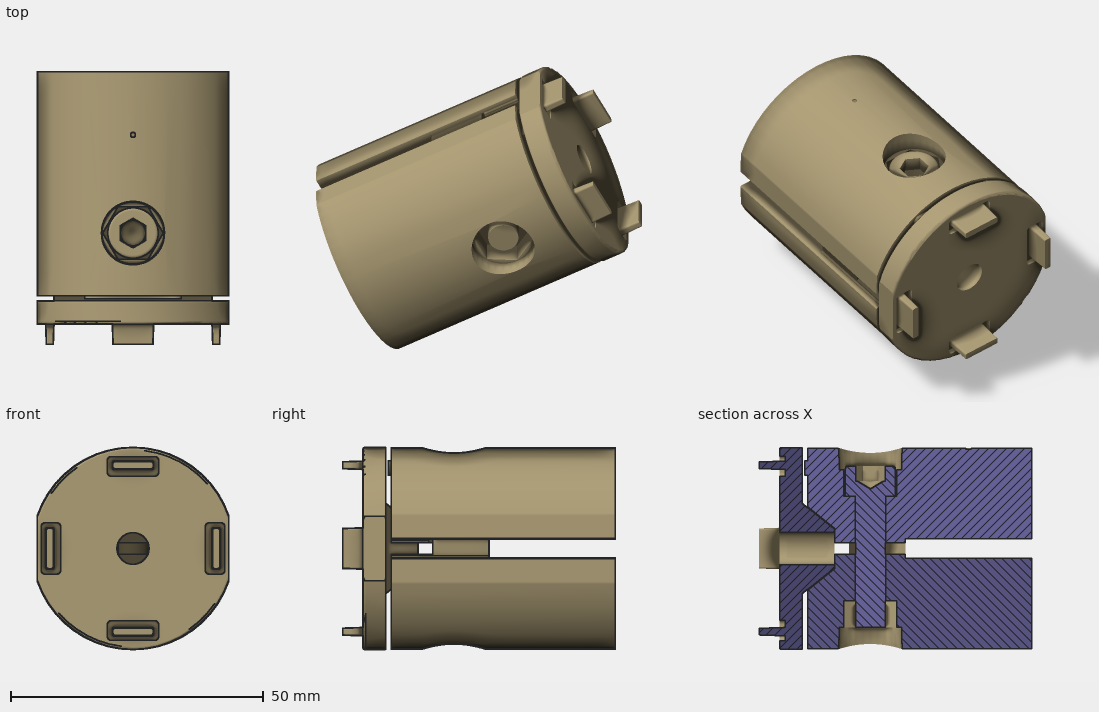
import cadquery as cq
import math

jaw_rear_y = 27.0
step_rear_y = 2.0
tenon_front_y = -9.2
wedge_tip_y = -12.05
jaw_front_y = -17.4
cap_rear_y = -18.4
cap_front_y = -23.0
tab_tip_y = -27.0

jaw_radius = 19.9
jaw_half_width = 18.975
jaw_flat_draft = 2.0
jaw_gap = 3.7
jaw_edge_chamfer = 0.15
flat_blend_radius = 1.1
step_gap = 2.2
step_half_width = 17.5
step_foot_radius = 0.4
step_crest_radius = 0.2
tenon_width = 3.25
tenon_top_z = 3.25
notch_clearance = 0.75

screw_y = -4.95
shank_diameter = 6.0
head_diameter = 10.0
head_top_z = 16.35
head_height = 6.0
head_edge_radius = 0.6
socket_flats = 5.0
socket_depth = 3.0
drill_point_angle = 118.0
seat_floor_diameter = 12.25
seat_draft = 2.0
seat_floor_z = 15.6
hex_seat_flats = 10.35

dimple_diameter = 0.95
dimple_depth = 0.25
dimple_y = 14.45
pad_length = 19.15
pad_width = 2.9
pad_corner_radius = 1.4
pad_height = 0.6
pad_z = 15.9

cap_radius = 20.0
cap_half_width = 18.975
cap_front_edge_radius = 0.55
cap_rear_edge_radius = 0.3
wedge_half_width = 15.65
wedge_base_half_height = 8.9
wedge_slope = 0.8
bore_diameter = 6.25
tab_offset = 16.45
tab_tip_length = 7.95
tab_tip_thickness = 1.4
tab_edge_radius = 0.3
tab_draft = 2.0
pocket_offset = 16.25
pocket_length = 10.15
pocket_width = 3.9
pocket_depth = 1.1
pocket_corner_radius = 0.75

jaw_length = jaw_rear_y - jaw_front_y
cap_thickness = cap_rear_y - cap_front_y
head_seat_z = head_top_z - head_height
jaw_reach = 2 * jaw_radius


def box(x_range, y_range, z_range):
    """Box between two limits along each axis."""
    (x0, x1), (y0, y1), (z0, z1) = x_range, y_range, z_range
    return cq.Workplane("XY").box(x1 - x0, y1 - y0, z1 - z0, centered=False).translate((x0, y0, z0))


def facing_front(y):
    """Sketch plane at the station y: local x is +X, local y is +Z, and it extrudes toward -Y."""
    return cq.Workplane("XZ", origin=(0, y, 0))


def at_screw(z):
    """Horizontal sketch plane centred on the screw axis."""
    return cq.Workplane("XY", origin=(0, screw_y, z))


def hexagon(workplane, flats):
    """Hexagon across the given flats, with corners on the X axis."""
    return workplane.polygon(6, flats / math.cos(math.pi / 6))


def make_wedge():
    tip_half_height = wedge_base_half_height - wedge_slope * (wedge_tip_y - cap_rear_y)
    outline = [
        (cap_rear_y, -wedge_base_half_height),
        (wedge_tip_y, -tip_half_height),
        (wedge_tip_y, tip_half_height),
        (cap_rear_y, wedge_base_half_height),
    ]
    return cq.Workplane("YZ").polyline(outline).close().extrude(wedge_half_width, both=True)


def make_disc():
    disc = facing_front(cap_rear_y).circle(cap_radius).extrude(cap_thickness)
    disc = disc.faces("<Y").edges().fillet(cap_front_edge_radius)
    disc = disc.faces(">Y").edges().fillet(cap_rear_edge_radius)
    sides = (-cap_half_width, cap_half_width)
    return disc.intersect(box(sides, (cap_front_y, cap_rear_y), (-cap_radius, cap_radius)))


def make_tab():
    """Tab on the +Z side, widening from its tip down to the pocket floor."""
    length = pocket_depth + cap_front_y - tab_tip_y
    tip = facing_front(tab_tip_y).center(0, tab_offset)
    outline = cq.Sketch().rect(tab_tip_length, tab_tip_thickness).vertices().fillet(tab_edge_radius)
    return tip.placeSketch(outline).extrude(-length, taper=-tab_draft)


def make_pocket():
    """Rounded pocket around the tab on the +Z side."""
    outline = cq.Sketch().rect(pocket_length, pocket_width).vertices().fillet(pocket_corner_radius)
    front = facing_front(cap_front_y).center(0, pocket_offset)
    return front.placeSketch(outline).extrude(-pocket_depth)


def make_cap():
    cap = make_disc().union(make_wedge())
    for quarter in range(4):
        turn = ((0, 0, 0), (0, 1, 0), 90 * quarter)
        cap = cap.cut(make_pocket().rotate(*turn))
        cap = cap.union(make_tab().rotate(*turn))
    bore = facing_front(wedge_tip_y).circle(bore_diameter / 2).extrude(wedge_tip_y - cap_front_y)
    return cap.cut(bore)


def make_screw():
    head = at_screw(head_seat_z).circle(head_diameter / 2).extrude(head_height)
    head = head.faces(">Z").edges().fillet(head_edge_radius)
    shank = at_screw(-seat_floor_z).circle(shank_diameter / 2).extrude(seat_floor_z + head_seat_z)
    socket_floor_z = head_top_z - socket_depth
    socket = hexagon(at_screw(socket_floor_z), socket_flats).extrude(socket_depth)
    socket = socket.rotate((0, screw_y, 0), (0, screw_y, 1), 90)
    point_radius = socket_flats / 2
    point_depth = point_radius / math.tan(math.radians(drill_point_angle / 2))
    point = cq.Solid.makeCone(
        point_radius, 0, point_depth, cq.Vector(0, screw_y, socket_floor_z), cq.Vector(0, 0, -1)
    )
    return head.union(shank).cut(socket).cut(point)


def make_jaw_blank():
    """Upper jaw before its details: arc, leaning side flats and the step toward the other jaw."""
    lean = math.tan(math.radians(jaw_flat_draft))
    lower_z = jaw_gap / 2
    lower_half_width = jaw_half_width - lean * lower_z
    upper_half_width = jaw_half_width - lean * jaw_reach
    envelope = facing_front(jaw_rear_y).polyline([
        (-lower_half_width, lower_z),
        (lower_half_width, lower_z),
        (upper_half_width, jaw_reach),
        (-upper_half_width, jaw_reach),
    ])
    envelope = envelope.close().extrude(jaw_length)
    blank = facing_front(jaw_rear_y).circle(jaw_radius).extrude(jaw_length).intersect(envelope)
    blank = blank.edges("|Y").edges("<Z").chamfer(jaw_edge_chamfer)
    blank = blank.edges("|Y").edges(">Z").fillet(flat_blend_radius)
    return blank.union(make_step())


def make_step():
    """Low step along the jaw's inner face, rounded at its crest and flared at its foot."""
    half_width = step_half_width
    foot_z = jaw_gap / 2
    top_z = step_gap / 2
    foot = step_foot_radius
    outline = cq.Sketch().push([(0, (top_z + tenon_top_z) / 2)]).rect(2 * half_width, tenon_top_z - top_z)
    outline = outline.reset().vertices("<Y").fillet(step_crest_radius)
    step = facing_front(step_rear_y).placeSketch(outline).extrude(step_rear_y - jaw_front_y)
    flare = (
        facing_front(step_rear_y)
        .moveTo(half_width, foot_z - foot)
        .radiusArc((half_width + foot, foot_z), -foot)
        .lineTo(half_width, foot_z)
        .close()
        .extrude(step_rear_y - jaw_front_y)
    )
    return step.union(flare).union(flare.mirror("YZ"))


def make_screw_seat():
    """Round recess, hexagonal seat below it and shank hole, for the upper jaw."""
    recess = at_screw(seat_floor_z).circle(seat_floor_diameter / 2)
    recess = recess.extrude(jaw_radius - seat_floor_z, taper=-seat_draft)
    hex_seat = hexagon(at_screw(head_seat_z), hex_seat_flats).extrude(seat_floor_z - head_seat_z)
    hole = at_screw(0).circle(shank_diameter / 2).extrude(head_seat_z)
    return recess.union(hex_seat).union(hole)


def make_jaw():
    return make_jaw_blank().cut(make_screw_seat()).cut(make_wedge())


def make_tenons(front_clearance=0, side_clearance=0):
    """Pair of blocks bridging the gap at both sides, grown by the clearances."""
    block = box(
        (step_half_width - tenon_width, step_half_width + side_clearance),
        (tenon_front_y - front_clearance, step_rear_y),
        (-tenon_top_z, tenon_top_z),
    )
    return block.union(block.mirror("YZ"))


def make_upper_jaw():
    jaw = make_jaw().cut(make_tenons(notch_clearance, step_foot_radius))
    pad = cq.Sketch().rect(pad_length, pad_width).vertices().fillet(pad_corner_radius)
    pad = facing_front(jaw_front_y).center(0, pad_z).placeSketch(pad).extrude(pad_height)
    dimple_floor_z = jaw_radius - dimple_depth
    dimple = cq.Workplane("XY", origin=(0, dimple_y, dimple_floor_z))
    dimple = dimple.circle(dimple_diameter / 2).extrude(jaw_reach)
    return jaw.union(pad).cut(dimple)


def make_lower_jaw():
    return make_jaw().mirror("XY").union(make_tenons())


upper_jaw = make_upper_jaw()
lower_jaw = make_lower_jaw()
cap = make_cap()
screw = make_screw()

result = cq.Compound.makeCompound([upper_jaw.val(), lower_jaw.val(), cap.val(), screw.val()])